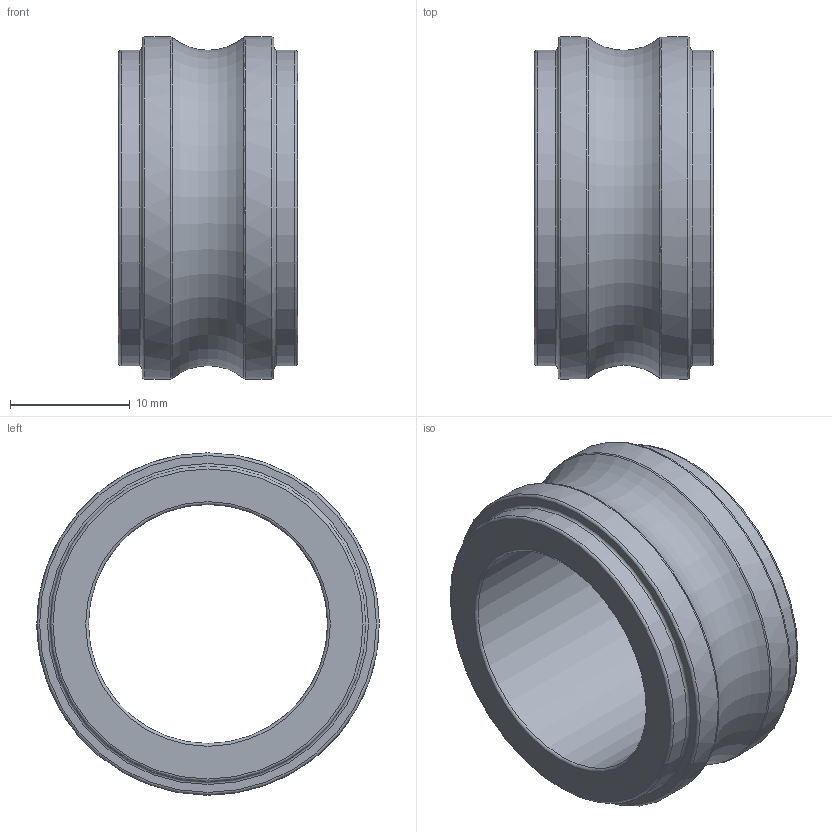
import cadquery as cq
import math

ring_length = 15.0
bore_diameter = 20.0
shoulder_diameter = 26.4
flange_diameter = 28.64
flange_width = 11.04

groove_floor_diameter = shoulder_diameter
groove_radius = 4.75

edge_fillet = 0.23


def stepped_ring():
    """Sharp-edged ring: the profile above the X axis, revolved about it."""
    end_x = ring_length / 2
    step_x = flange_width / 2
    bore_r = bore_diameter / 2
    shoulder_r = shoulder_diameter / 2
    flange_r = flange_diameter / 2
    floor_r = groove_floor_diameter / 2

    arc_centre_r = floor_r + groove_radius
    mouth_x = math.sqrt(groove_radius**2 - (arc_centre_r - flange_r) ** 2)

    return (
        cq.Workplane("XZ")
        .moveTo(-end_x, bore_r)
        .lineTo(-end_x, shoulder_r)
        .lineTo(-step_x, shoulder_r)
        .lineTo(-step_x, flange_r)
        .lineTo(-mouth_x, flange_r)
        .threePointArc((0, floor_r), (mouth_x, flange_r))
        .lineTo(step_x, flange_r)
        .lineTo(step_x, shoulder_r)
        .lineTo(end_x, shoulder_r)
        .lineTo(end_x, bore_r)
        .close()
        .revolve(360, (0, 0), (1, 0))
    )


def round_groove_edges(ring):
    """Round the two edges where the groove meets the flange."""
    return ring.faces("%TORUS").edges("%CIRCLE").fillet(edge_fillet)


def round_end_and_step_edges(ring):
    """Round every edge of the end faces and step faces, step corners included."""
    return ring.faces("%PLANE").edges("%CIRCLE").fillet(edge_fillet)


result = round_end_and_step_edges(round_groove_edges(stepped_ring()))